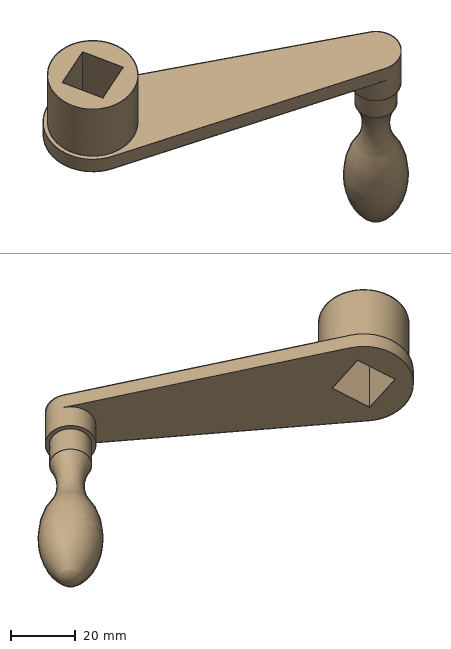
import cadquery as cq
import math

arm_thickness = 5.9
hub_end_radius = 15.35
boss_diameter = 15.6
arm_length = 92.2
hub_diameter = 28.0
hub_height = 22.2
square_side = 14.0
boss_length = 8.8

sleeve_radius = 13.0 / 2
sleeve_end = 18.4
waist_radius = 4.2
seam_radius = 6.2
seam_depth = 37.5
shoulder_radius = 8.9
shoulder_depth = 43.9
bulge_radius = 10.0
bulge_depth = 50.6
taper_radius = 8.8
taper_depth = 61.6
tip_radius = 3.4
tip_depth = 71.5
handle_end = 72.8
waist_depth = (sleeve_end + seam_depth) / 2


def make_arm():
    """Flat arm: two round ends joined by their common tangent lines."""
    handle_end_radius = boss_diameter / 2
    sine = (hub_end_radius - handle_end_radius) / arm_length
    cosine = math.sqrt(1 - sine**2)
    hub_x = hub_end_radius * cosine
    hub_y = hub_end_radius * sine
    far_x = handle_end_radius * cosine
    far_y = arm_length + handle_end_radius * sine
    return (
        cq.Workplane("XY")
        .moveTo(hub_x, hub_y)
        .lineTo(far_x, far_y)
        .threePointArc((0, arm_length + handle_end_radius), (-far_x, far_y))
        .lineTo(-hub_x, hub_y)
        .threePointArc((0, -hub_end_radius), (hub_x, hub_y))
        .close()
        .extrude(arm_thickness)
    )


def make_hub():
    return cq.Workplane("XY").circle(hub_diameter / 2).extrude(arm_thickness + hub_height)


def make_boss():
    return cq.Workplane("XY").center(0, arm_length).circle(boss_diameter / 2).extrude(-boss_length)


def make_handle():
    """Turned handle: straight sleeve, concave neck, swelling grip and rounded tip."""
    grip_points = [
        (shoulder_radius, -shoulder_depth),
        (bulge_radius, -bulge_depth),
        (taper_radius, -taper_depth),
        (tip_radius, -tip_depth),
    ]
    return (
        cq.Workplane("XZ", origin=(0, arm_length, 0))
        .lineTo(sleeve_radius, 0)
        .lineTo(sleeve_radius, -sleeve_end)
        .threePointArc((waist_radius, -waist_depth), (seam_radius, -seam_depth))
        .spline(grip_points, includeCurrent=True)
        .threePointArc(cap_midpoint(), (0, -handle_end))
        .close()
        .revolve(360, (0, 0, 0), (0, 1, 0))
    )


def cap_midpoint():
    """Point halfway along the spherical cap, from its rim to the axis."""
    cap_height = handle_end - tip_depth
    sphere_radius = (tip_radius**2 + cap_height**2) / (2 * cap_height)
    half_angle = math.asin(tip_radius / sphere_radius) / 2
    drop = handle_end - sphere_radius * (1 - math.cos(half_angle))
    return (sphere_radius * math.sin(half_angle), -drop)


def make_square_hole():
    """Square drive hole through hub and arm, with its corners on the X and Y axes."""
    return (
        cq.Workplane("XY")
        .rect(square_side, square_side)
        .extrude(arm_thickness + hub_height)
        .rotate((0, 0, 0), (0, 0, 1), 45)
    )


crank = make_arm().union(make_hub()).union(make_boss()).union(make_handle())
result = crank.cut(make_square_hole())